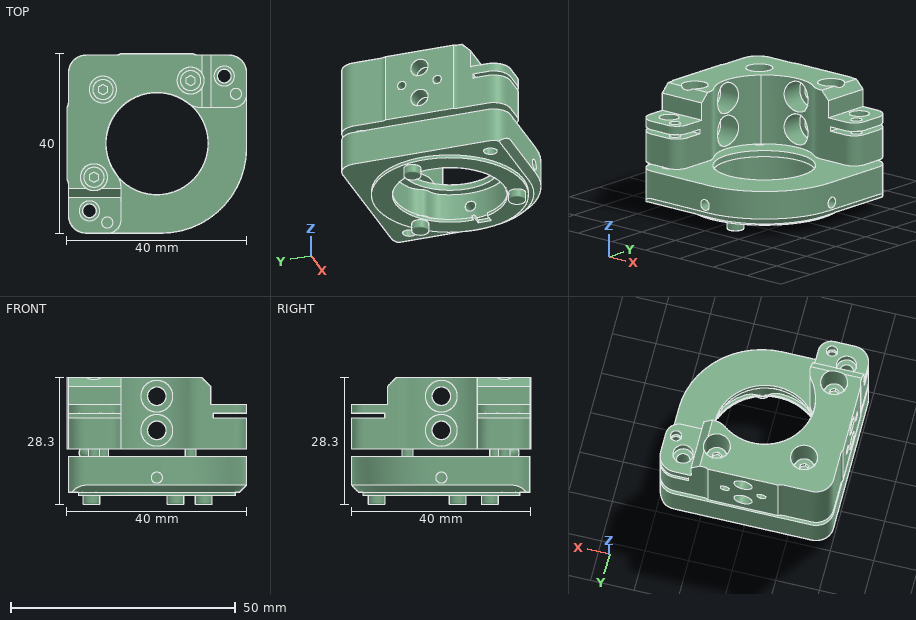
import cadquery as cq
import math

screw_head_height = 2.0
ring_thickness = 0.7
plate_thickness = 8.0
gap = 1.6
block_height = 16.0

ring_bottom = screw_head_height
plate_bottom = ring_bottom + ring_thickness
plate_top = plate_bottom + plate_thickness
block_bottom = plate_top + gap
block_top = block_bottom + block_height

half_size = 20.0
boss_height = 0.3
back_side = half_size - boss_height
corner_radius = 4.0

lip_bore_diameter = 22.8
round_corner_radius = 19.0
bottom_chamfer = 1.6
lip_thickness = 1.4
pocket_diameter = 27.0
screw_pad_diameter = 5.0
screw_pad_blend = 4.4
set_screw_diameter = 2.5
set_screw_level = plate_bottom + 3.3

ring_diameter = 35.0
ring_bore_diameter = 25.6
ring_notch_reach = 14.4
ring_notch_start = -1.5
ring_notch_width = 3.0
ring_finger_width = 0.6
ring_finger_tip = 11.95
ring_finger_edge = 0.2
screw_circle_radius = 15.0
screw_angles = [46.0, 166.0, 286.0]
screw_head_diameter = 3.8
screw_head_edge = 0.25
screw_shank_diameter = 2.0
screw_thread_length = 4.0

block_bore_diameter = 22.6
arm_edge = 8.0
arm_corner_radius = 3.0
bore_blend_radius = 5.0
step_position = 12.0
step_depth = 6.0
step_chamfer = 2.0
tab_thickness = 2.0
slot_height = 1.0
slot_position = 12.6
boss_half_width = 8.1
boss_arc_radius = 2.0
mount_hole_diameter = 4.1
mount_head_diameter = 7.1
mount_head_floor = 16.0
mount_hole_spacing = 7.6
dowel_diameter = 2.0
dowel_spacing = 8.4
dowel_depth = 4.0
adjuster_offset = 15.0
adjuster_thread_diameter = 4.5
adjuster_hole_diameter = 3.0
clamp_hole_diameter = 2.5
clamp_hole_position = (17.6, 11.05)

bolt_head_diameter = 4.5
bolt_head_height = 2.5
bolt_hex_flats = 2.0
bolt_hex_depth = 1.2
bolt_shank_diameter = 2.5
bolt_thread_length = 4.8
bolt_pocket_diameter = 6.0
bolt_pocket_depth = 8.0
corner_bolt = (-12.0, 12.0)
arm_bolt = (7.5, 14.0)

ball_diameter = 4.0
ball_center = (-15.3, 15.3, (plate_top + block_bottom) / 2)


def swapped(point):
    """Mirror image of a plan point across the diagonal symmetry plane y = -x."""
    return (-point[1], -point[0])


def both_arms(point):
    return [point, swapped(point)]


def mirrored(shape):
    """Mirror image of a feature across the diagonal symmetry plane y = -x."""
    return cq.Workplane(shape.val().mirror(cq.Vector(1, 1, 0), cq.Vector(0, 0, 0)))


def cylinder(diameter, bottom, top, points=((0, 0),)):
    return (
        cq.Workplane("XY", origin=(0, 0, bottom))
        .pushPoints(list(points))
        .circle(diameter / 2)
        .extrude(top - bottom)
    )


def box(x_range, y_range, z_range):
    lows, highs = zip(x_range, y_range, z_range)
    sizes = [high - low for low, high in zip(lows, highs)]
    return cq.Workplane("XY").box(*sizes, centered=False).translate(lows)


def polar(radius, angle):
    return (radius * math.cos(math.radians(angle)), radius * math.sin(math.radians(angle)))


def round_edges(body, points, radius):
    """Fillet the vertical edges of a prism that stand nearest to the given plan points."""
    middle = body.val().BoundingBox().center.z
    for x, y in points:
        edge = body.edges("|Z").edges(cq.NearestToPointSelector((x, y, middle)))
        body = edge.fillet(radius)
    return body


bolt_points = [corner_bolt, *both_arms(arm_bolt)]
screw_points = [polar(screw_circle_radius, angle) for angle in screw_angles]
adjuster_points = both_arms((adjuster_offset, adjuster_offset))
bolt_seat = block_top - bolt_pocket_depth
bolt_end = plate_top - bolt_thread_length
screw_end = plate_bottom + screw_thread_length
step_floor = block_top - step_depth
slot_top = step_floor - tab_thickness
ball = cq.Workplane("XY").sphere(ball_diameter / 2).translate(ball_center)


def plate_blank():
    blank = box((-back_side, half_size), (-half_size, back_side), (plate_bottom, plate_top))
    plain_corners = [(-back_side, -half_size), (-back_side, back_side), (half_size, back_side)]
    return round_edges(blank, plain_corners, corner_radius)


def rounded_chamfer_envelope():
    """Oversize prism whose chamfered bottom rim runs along the -Y side, the big arc and the +X side."""
    reach = 2 * half_size
    envelope = box((-reach, half_size), (-half_size, reach), (plate_bottom, plate_top))
    envelope = round_edges(envelope, [(half_size, -half_size)], round_corner_radius)
    return envelope.faces("<Z").edges("<Y").chamfer(bottom_chamfer)


def screw_pad(angle, bottom, top):
    """Round pad standing in from the pocket wall at one screw, blended into the wall on both sides."""
    pocket_radius = pocket_diameter / 2
    pad_radius = screw_pad_diameter / 2
    blend_circle = pocket_radius - screw_pad_blend
    blend_distance = pad_radius + screw_pad_blend
    cosine = (blend_circle**2 + screw_circle_radius**2 - blend_distance**2) / (
        2 * blend_circle * screw_circle_radius
    )
    half_angle = math.degrees(math.acos(cosine))
    outer = polar(screw_circle_radius, angle)
    pad = cylinder(screw_pad_diameter, bottom, top, [outer])
    for side in (-1, 1):
        blend = polar(blend_circle, angle + side * half_angle)
        wall = polar(screw_circle_radius, angle + side * half_angle)
        web = (
            cq.Workplane("XY", origin=(0, 0, bottom))
            .polyline([outer, blend, wall])
            .close()
            .extrude(top - bottom)
            .cut(cylinder(2 * screw_pad_blend, bottom, top, [blend]))
        )
        pad = pad.union(web)
    return pad


def plate_pocket():
    lip_bottom = plate_top - lip_thickness
    pocket = cylinder(pocket_diameter, plate_bottom, lip_bottom)
    for angle in screw_angles:
        pocket = pocket.cut(screw_pad(angle, plate_bottom, lip_bottom))
    return pocket


def set_screw_hole():
    """Radial hole through the +X wall."""
    return (
        cq.Workplane("YZ")
        .center(0, set_screw_level)
        .circle(set_screw_diameter / 2)
        .extrude(half_size)
    )


def make_plate():
    plate = plate_blank().intersect(rounded_chamfer_envelope())
    plate = plate.cut(cylinder(lip_bore_diameter, plate_bottom, plate_top)).cut(plate_pocket())
    plate = plate.cut(set_screw_hole()).cut(mirrored(set_screw_hole()))
    plate = plate.cut(cylinder(adjuster_hole_diameter, plate_bottom, plate_top, adjuster_points))
    plate = plate.cut(cylinder(bolt_shank_diameter, bolt_end, plate_top, bolt_points))
    plate = plate.cut(cylinder(screw_shank_diameter, plate_bottom, screw_end, screw_points))
    return plate.cut(ball)


def make_ring():
    """Flat ring with one notch in its bore, edged by a narrow finger pointing inward."""
    ring = cylinder(ring_diameter, ring_bottom, plate_bottom)
    ring = ring.cut(cylinder(ring_bore_diameter, ring_bottom, plate_bottom))
    ring = ring.cut(cylinder(screw_shank_diameter, ring_bottom, plate_bottom, screw_points))
    levels = (ring_bottom, plate_bottom)
    notch_end = ring_notch_start - ring_notch_width
    finger_end = ring_notch_start + ring_finger_width
    notch = box((0, ring_notch_reach), (notch_end, ring_notch_start), levels)
    finger = box((ring_finger_tip, ring_notch_reach), (ring_notch_start, finger_end), levels)
    finger = finger.edges("|Z").edges("<X").edges("<Y").fillet(ring_finger_edge)
    return ring.cut(notch).union(finger)


def make_ring_screw(point):
    head = cylinder(screw_head_diameter, 0, screw_head_height, [point])
    head = head.faces("<Z").edges().fillet(screw_head_edge)
    return head.union(cylinder(screw_shank_diameter, screw_head_height, screw_end, [point]))


def block_blank():
    blank = box((-back_side, half_size), (-half_size, back_side), (block_bottom, block_top))
    open_corner = box((-arm_edge, half_size), (-half_size, arm_edge), (block_bottom, block_top))
    blank = blank.cut(open_corner).cut(cylinder(block_bore_diameter, block_bottom, block_top))
    outer_corners = [(-back_side, back_side), *both_arms((half_size, back_side))]
    blank = round_edges(blank, outer_corners, corner_radius)
    blank = round_edges(blank, both_arms((half_size, arm_edge)), arm_corner_radius)
    bore_corner = math.sqrt((block_bore_diameter / 2) ** 2 - arm_edge**2)
    return round_edges(blank, both_arms((bore_corner, arm_edge)), bore_blend_radius)


def mounting_boss():
    """Low raised face on the +Y side, meeting the side in concave arcs."""
    run = math.sqrt(boss_arc_radius**2 - (boss_arc_radius - boss_height) ** 2)
    foot = boss_half_width + run
    half_turn = math.acos(1 - boss_height / boss_arc_radius) / 2
    middle_x = foot - boss_arc_radius * math.sin(half_turn)
    middle_y = back_side + boss_arc_radius * (1 - math.cos(half_turn))
    root = back_side - corner_radius
    return (
        cq.Workplane("XY", origin=(0, 0, block_bottom))
        .moveTo(-foot, root)
        .lineTo(-foot, back_side)
        .threePointArc((-middle_x, middle_y), (-boss_half_width, half_size))
        .lineTo(boss_half_width, half_size)
        .threePointArc((middle_x, middle_y), (foot, back_side))
        .lineTo(foot, root)
        .close()
        .extrude(block_height)
    )


def tab_step():
    """Material taken off the +X arm above its clamping tab, with the chamfer above it."""
    return (
        cq.Workplane("XZ", origin=(0, half_size, 0))
        .moveTo(step_position - step_chamfer, block_top)
        .lineTo(step_position, block_top - step_chamfer)
        .lineTo(step_position, step_floor)
        .lineTo(half_size, step_floor)
        .lineTo(half_size, block_top)
        .close()
        .extrude(half_size)
    )


def tab_slot():
    return box((slot_position, half_size), (0, half_size), (slot_top - slot_height, slot_top))


def mounting_holes():
    """Two counterbored bolt holes and two blind dowel holes in the +Y wall."""
    middle = block_bottom + block_height / 2
    levels = [(0, middle - mount_hole_spacing / 2), (0, middle + mount_hole_spacing / 2)]
    dowels = [(-dowel_spacing / 2, middle), (dowel_spacing / 2, middle)]
    axis_plane = cq.Workplane("XZ")
    bolts = axis_plane.pushPoints(levels).circle(mount_hole_diameter / 2).extrude(-half_size)
    heads = axis_plane.pushPoints(levels).circle(mount_head_diameter / 2).extrude(-mount_head_floor)
    boss_face = cq.Workplane("XZ", origin=(0, half_size, 0))
    pins = boss_face.pushPoints(dowels).circle(dowel_diameter / 2).extrude(dowel_depth)
    return bolts.union(heads).union(pins)


def make_block():
    block = block_blank().union(mounting_boss()).union(mirrored(mounting_boss()))
    for feature in (tab_step(), tab_slot(), mounting_holes()):
        block = block.cut(feature).cut(mirrored(feature))
    block = block.cut(cylinder(adjuster_hole_diameter, block_bottom, block_top, adjuster_points))
    block = block.cut(cylinder(adjuster_thread_diameter, slot_top, block_top, adjuster_points))
    block = block.cut(cylinder(clamp_hole_diameter, block_bottom, block_top, both_arms(clamp_hole_position)))
    block = block.cut(cylinder(bolt_shank_diameter, block_bottom, bolt_seat, bolt_points))
    block = block.cut(cylinder(bolt_pocket_diameter, bolt_seat, block_top, bolt_points))
    return block.cut(ball)


def make_bolt(point):
    """Socket head bolt seated on the floor of its pocket and threaded into the plate."""
    head_top = bolt_seat + bolt_head_height
    across_corners = bolt_hex_flats / math.cos(math.radians(30))
    socket = (
        cq.Workplane("XY", origin=(*point, head_top - bolt_hex_depth))
        .transformed(rotate=(0, 0, 90))
        .polygon(6, across_corners)
        .extrude(bolt_hex_depth)
    )
    shank = cylinder(bolt_shank_diameter, bolt_end, bolt_seat, [point])
    head = cylinder(bolt_head_diameter, bolt_seat, head_top, [point])
    return shank.union(head).cut(socket)


block = make_block()
plate = make_plate()
ring = make_ring()
bolts = [make_bolt(point) for point in bolt_points]
ring_screws = [make_ring_screw(point) for point in screw_points]

result = cq.Compound.makeCompound(
    [body.val() for body in (block, plate, ring, ball, *bolts, *ring_screws)]
)